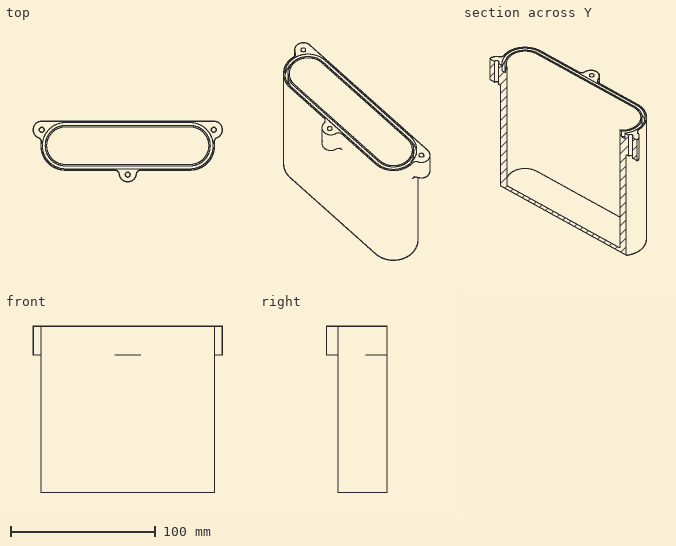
import cadquery as cq
import math

body_length = 120.0
body_depth = 34.0
body_height = 115.0
body_radius = body_depth / 2
end_center_x = body_length / 2 - body_radius
wall = 4.0
floor_thickness = wall

groove_offset = 1.0
groove_width = 2.0
groove_depth = 5.0

ear_height = 20.0
ear_radius = 6.0
ear_bottom = body_height - ear_height
blend_radius = 3.0
screw_hole_diameter = 3.3
side_ear_x = 59.4
side_ear_y = body_radius - ear_radius
front_ear_y = -19.0
front_hole_y = -20.0


def stadium(inset, bottom, height):
    """Solid whose outline is the body outline moved inward by inset."""
    return (
        cq.Workplane("XY", origin=(0, 0, bottom))
        .slot2D(body_length - 2 * inset, body_depth - 2 * inset)
        .extrude(height)
    )


def point_towards(start, end, distance):
    """Point at the given distance from start on the line to end."""
    span = math.dist(start, end)
    return tuple(a + (b - a) * distance / span for a, b in zip(start, end))


def side_ear():
    """Ear at the +X rear corner, flush with the rear face and blended into the round end."""
    ear = (side_ear_x, side_ear_y)
    body_end = (end_center_x, 0)

    to_ear = ear_radius + blend_radius
    to_body = body_radius + blend_radius
    span = math.dist(ear, body_end)
    angle_at_body = math.acos((span**2 + to_body**2 - to_ear**2) / (2 * span * to_body))
    direction = math.atan2(side_ear_y, side_ear_x - end_center_x) - angle_at_body
    blend = (end_center_x + to_body * math.cos(direction), to_body * math.sin(direction))

    return (
        cq.Workplane("XY", origin=(0, 0, ear_bottom))
        .moveTo(end_center_x, body_radius)
        .lineTo(side_ear_x, body_radius)
        .threePointArc(
            (side_ear_x + ear_radius, side_ear_y),
            point_towards(ear, blend, ear_radius),
        )
        .threePointArc(
            point_towards(blend, point_towards(ear, body_end, span / 2), blend_radius),
            point_towards(body_end, blend, body_radius),
        )
        .lineTo(*body_end)
        .close()
        .extrude(ear_height)
    )


def front_ear():
    """Ear in the middle of the front face, blended into it on both sides."""
    ear = (0, front_ear_y)
    blend_y = -body_radius - blend_radius
    blend_x = math.sqrt((ear_radius + blend_radius) ** 2 - (blend_y - front_ear_y) ** 2)
    blend = (blend_x, blend_y)
    face_end = (blend_x, -body_radius)
    ear_end = point_towards(ear, blend, ear_radius)
    blend_middle = point_towards(blend, (0, -body_radius), blend_radius)
    root_y = -body_radius + wall / 2

    return (
        cq.Workplane("XY", origin=(0, 0, ear_bottom))
        .moveTo(-blend_x, root_y)
        .lineTo(-blend_x, -body_radius)
        .threePointArc((-blend_middle[0], blend_middle[1]), (-ear_end[0], ear_end[1]))
        .threePointArc((0, front_ear_y - ear_radius), ear_end)
        .threePointArc(blend_middle, face_end)
        .lineTo(blend_x, root_y)
        .close()
        .extrude(ear_height)
    )


def screw_holes():
    """Holes running through the full height of the three ears."""
    return (
        cq.Workplane("XY", origin=(0, 0, ear_bottom))
        .pushPoints([(-side_ear_x, side_ear_y), (side_ear_x, side_ear_y), (0, front_hole_y)])
        .circle(screw_hole_diameter / 2)
        .extrude(ear_height)
    )


def seal_groove():
    """Ring cut into the rim, following the body outline."""
    bottom = body_height - groove_depth
    outer = stadium(groove_offset, bottom, groove_depth)
    inner = stadium(groove_offset + groove_width, bottom, groove_depth)
    return outer.cut(inner)


cavity = stadium(wall, floor_thickness, body_height - floor_thickness)
right_ear = side_ear()

result = (
    stadium(0, 0, body_height)
    .union(right_ear)
    .union(right_ear.mirror("YZ"))
    .union(front_ear())
    .cut(cavity)
    .cut(seal_groove())
    .cut(screw_holes())
)